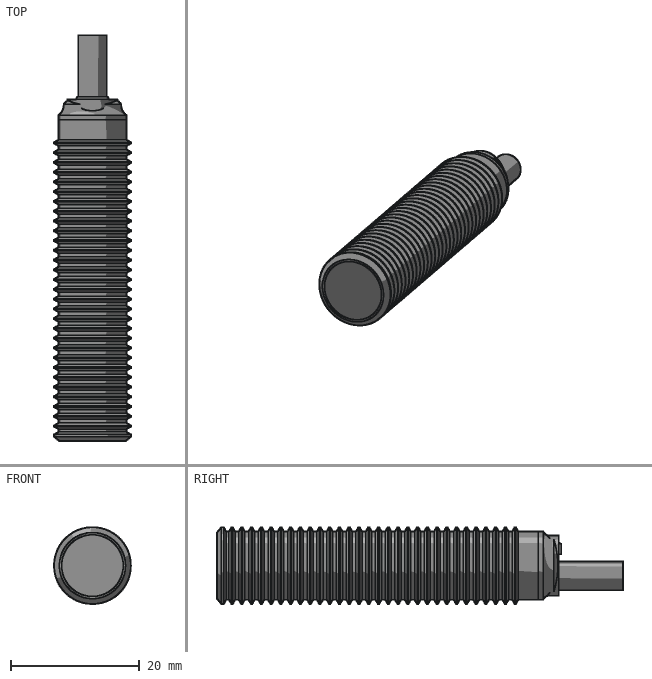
import cadquery as cq
import math


housing_length = 50.0
root_radius = 5.32
front_chamfer_length = 0.7
front_rim_radius = 5.15

crest_radius = 6.0
ring_count = 31
ring_pitch = 1.52
crest_width = 0.17
front_crest_width = 0.34
flank_angle = 30.0
first_ring_y = 0.83
flank_width = (crest_radius - root_radius) * math.tan(math.radians(flank_angle))

lens_radius = 4.8
lens_depth = 1.0

cap_rim_length = 0.75
cap_neck_radius = 4.5
neck_land = 0.2
cap_chamfer = 0.75
cable_length = 10.0
overall_length = 63.21
cap_end_y = overall_length - cable_length

block_half_width = 3.9
block_half_height = 4.7

indicator_radius = 2.75
indicator_base_z = 1.75
indicator_top_z = 3.55
indicator_height = 0.4
indicator_draft = 25.0

cable_radius = 2.25
cable_z = -1.6


def sketch_plane(y):
    """Plane across the axis at the given Y, with local x = -X, local y = Z and extrusion toward +Y."""
    return cq.Workplane(cq.Plane(origin=(0, y, 0), xDir=(-1, 0, 0), normal=(0, 1, 0)))


def revolve_about_axis(profile):
    """Revolve a closed (radius, Y) profile around the Y axis."""
    return profile.close().revolve(360, (0, 0, 0), (0, 1, 0))


def make_housing():
    """Threaded barrel with a chamfered front edge and a recess for the lens."""
    profile = (
        cq.Workplane("XY")
        .moveTo(0, lens_depth)
        .lineTo(lens_radius, lens_depth)
        .lineTo(lens_radius, 0)
        .lineTo(front_rim_radius, 0)
        .lineTo(crest_radius, front_chamfer_length)
    )
    front_crest_end = front_chamfer_length + front_crest_width
    profile = profile.lineTo(crest_radius, front_crest_end)
    profile = profile.lineTo(root_radius, front_crest_end + flank_width)
    half_crest = crest_width / 2
    half_base = half_crest + flank_width
    for index in range(1, ring_count):
        ring_y = first_ring_y + index * ring_pitch
        profile = (
            profile.lineTo(root_radius, ring_y - half_base)
            .lineTo(crest_radius, ring_y - half_crest)
            .lineTo(crest_radius, ring_y + half_crest)
            .lineTo(root_radius, ring_y + half_base)
        )
    profile = profile.lineTo(root_radius, housing_length).lineTo(0, housing_length)
    return revolve_about_axis(profile)


def make_lens():
    """Disc that fills the front recess flush with the rim."""
    return sketch_plane(0).circle(lens_radius).extrude(lens_depth)


def make_cap():
    """Rear cap: rim, concave flare, chamfered neck, and an elliptical block up to the end face."""
    rim_end_y = housing_length + cap_rim_length
    chamfer_y = cap_end_y - cap_chamfer
    flare_y = chamfer_y - neck_land

    flare_length = flare_y - rim_end_y
    flare_rise = root_radius - cap_neck_radius
    flare_radius = (flare_length**2 + flare_rise**2) / (2 * flare_rise)
    half_angle = math.asin(flare_length / flare_radius) / 2
    flare_middle = (
        cap_neck_radius + flare_radius * (1 - math.cos(half_angle)),
        flare_y - flare_radius * math.sin(half_angle),
    )

    profile = (
        cq.Workplane("XY")
        .moveTo(0, housing_length)
        .lineTo(root_radius, housing_length)
        .lineTo(root_radius, rim_end_y)
        .threePointArc(flare_middle, (cap_neck_radius, flare_y))
        .lineTo(cap_neck_radius, chamfer_y)
        .lineTo(cap_neck_radius - cap_chamfer, cap_end_y)
        .lineTo(0, cap_end_y)
    )
    block = (
        sketch_plane(rim_end_y)
        .ellipse(block_half_width, block_half_height)
        .extrude(cap_end_y - rim_end_y)
    )
    return revolve_about_axis(profile).union(block)


def make_indicator():
    """Half-round window on the end face above the cable, tapered along its arc."""
    center_z = indicator_top_z - indicator_radius
    disc = (
        sketch_plane(cap_end_y)
        .center(0, center_z)
        .circle(indicator_radius)
        .extrude(indicator_height, taper=indicator_draft)
    )
    keep = (
        sketch_plane(cap_end_y)
        .center(0, indicator_base_z + indicator_radius)
        .rect(2 * indicator_radius, 2 * indicator_radius)
        .extrude(indicator_height)
    )
    return disc.intersect(keep)


def make_cable():
    """Cable stub leaving the cap below the axis."""
    return sketch_plane(cap_end_y).center(0, cable_z).circle(cable_radius).extrude(cable_length)


housing = make_housing()
lens = make_lens()
cap = make_cap()
indicator = make_indicator()
cable = make_cable()

result = cq.Compound.makeCompound(
    [housing.val(), lens.val(), cap.val(), indicator.val(), cable.val()]
)